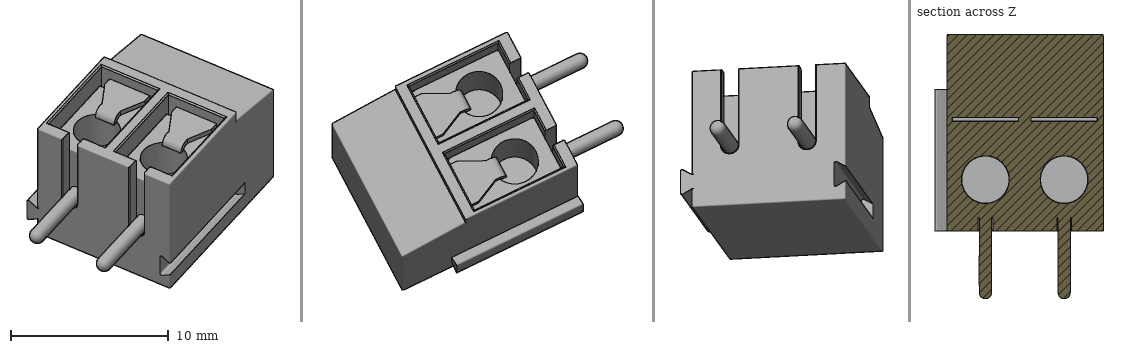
import cadquery as cq
import math


housing_width = 9.95
housing_depth = 12.5
housing_height = 9.0
shoulder_y = 8.0
shoulder_drop = 0.7
rear_drop = 1.5
edge_break = 0.1

pole_pitch = 5.0
pole_count = 2
first_pole_x = 2.45

pocket_width = 4.2
pocket_front_y = 0.85
pocket_rear_y = 7.2
insert_drop = 1.5
insert_rear_gap = 0.22
bore_diameter = 3.0
bore_y = 3.27

pin_diameter = 1.0
pin_z = 4.0
pin_length = 4.4
slot_width = 1.08
slot_break = 0.06
pocket_floor_z = pin_z - slot_width / 2

clip_drop = 0.84
clip_thickness = 0.35
clip_base_width = 3.0
clip_tip_width = 1.4
clip_base_length = 0.6
clip_bend_y = 4.79
clip_tip_length = 0.2
clip_roll_radius = 0.6

dovetail_depth = 0.75
dovetail_length = 9.0
dovetail_z = 1.71
dovetail_neck = 0.94
dovetail_flare = 30
dovetail_round = 0.12


def make_housing():
    """Stepped body with a sloping rear top; the two edges of the step stay sharp."""
    return (
        cq.Workplane("YZ")
        .moveTo(0, 0)
        .lineTo(housing_depth, 0)
        .lineTo(housing_depth, housing_height - rear_drop)
        .lineTo(shoulder_y, housing_height - shoulder_drop)
        .lineTo(shoulder_y, housing_height)
        .lineTo(0, housing_height)
        .close()
        .extrude(housing_width)
        .edges(">Y or <Y or <Z or >X or <X or (>Z and (not |X))")
        .fillet(edge_break)
    )


def make_dovetail(neck_x):
    """Dovetail bar whose narrow neck lies in the plane x = neck_x, widening toward -X."""
    half_neck = dovetail_neck / 2
    half_head = half_neck + dovetail_depth * math.tan(math.radians(dovetail_flare))
    head_x = neck_x - dovetail_depth
    return (
        cq.Workplane("XZ")
        .moveTo(neck_x + edge_break, dovetail_z - half_neck)
        .lineTo(neck_x, dovetail_z - half_neck)
        .lineTo(head_x, dovetail_z - half_head)
        .lineTo(head_x, dovetail_z + half_head)
        .lineTo(neck_x, dovetail_z + half_neck)
        .lineTo(neck_x + edge_break, dovetail_z + half_neck)
        .close()
        .extrude(-dovetail_length)
        .edges("|Y and <X")
        .fillet(dovetail_round)
    )


def make_pocket(pole_x):
    """Rectangular pocket with a chamfered rim."""
    pocket_length = pocket_rear_y - pocket_front_y
    pocket_y = (pocket_front_y + pocket_rear_y) / 2
    well = (
        cq.Workplane("XY", origin=(pole_x, pocket_y, pocket_floor_z))
        .rect(pocket_width, pocket_length)
        .extrude(housing_height - pocket_floor_z)
    )
    rim = (
        cq.Workplane("XY", origin=(pole_x, pocket_y, housing_height))
        .rect(pocket_width + 2 * edge_break, pocket_length + 2 * edge_break)
        .workplane(offset=-edge_break)
        .rect(pocket_width, pocket_length)
        .loft(ruled=True)
    )
    return well.union(rim)


def make_slot_cutter(pole_x, width, depth, taper=0):
    """Round-bottomed cutter around the pin, running from the front face and past the housing top."""
    radius = width / 2
    cutter_top = housing_height + edge_break
    return (
        cq.Workplane("XZ", origin=(pole_x, 0, 0))
        .moveTo(-radius, cutter_top)
        .lineTo(-radius, pin_z)
        .threePointArc((0, pin_z - radius), (radius, pin_z))
        .lineTo(radius, cutter_top)
        .close()
        .extrude(-depth, taper=taper)
    )


def make_slot(pole_x):
    """Slot through the front wall with a chamfered mouth."""
    slot = make_slot_cutter(pole_x, slot_width, pocket_front_y)
    mouth = make_slot_cutter(pole_x, slot_width + 2 * slot_break, slot_break, taper=45)
    return slot.union(mouth)


def make_insert(pole_x):
    """Metal block in the pocket with a wire bore and rounded top edges."""
    insert_rear_y = pocket_rear_y - insert_rear_gap
    insert_length = insert_rear_y - pocket_front_y
    insert_height = housing_height - insert_drop - pocket_floor_z
    block = (
        cq.Workplane("XY", origin=(pole_x, pocket_front_y + insert_length / 2, pocket_floor_z))
        .rect(pocket_width, insert_length)
        .extrude(insert_height)
        .faces(">Z")
        .edges()
        .fillet(edge_break)
    )
    bore = (
        cq.Workplane("XY", origin=(pole_x, bore_y, pocket_floor_z))
        .circle(bore_diameter / 2)
        .extrude(insert_height)
    )
    return block.cut(bore)


def make_clip(pole_x):
    """Tapered spring leaf from the rear wall with its tip rolled down into the bore."""
    top_z = housing_height - clip_drop
    roll_z = top_z - clip_roll_radius
    roll_tip_y = clip_bend_y - clip_roll_radius
    inner_radius = clip_roll_radius - clip_thickness
    diagonal = math.sqrt(0.5)
    side = (
        cq.Workplane("YZ", origin=(pole_x - clip_base_width / 2, 0, 0))
        .moveTo(pocket_rear_y, top_z)
        .lineTo(clip_bend_y, top_z)
        .threePointArc(
            (clip_bend_y - clip_roll_radius * diagonal, roll_z + clip_roll_radius * diagonal),
            (roll_tip_y, roll_z),
        )
        .lineTo(roll_tip_y + clip_thickness, roll_z)
        .threePointArc(
            (clip_bend_y - inner_radius * diagonal, roll_z + inner_radius * diagonal),
            (clip_bend_y, top_z - clip_thickness),
        )
        .lineTo(pocket_rear_y, top_z - clip_thickness)
        .close()
        .extrude(clip_base_width)
    )
    half_base = clip_base_width / 2
    half_tip = clip_tip_width / 2
    base_end_y = pocket_rear_y - clip_base_length
    taper_end_y = clip_bend_y + clip_tip_length
    plan = (
        cq.Workplane("XY", origin=(pole_x, 0, 0))
        .moveTo(-half_base, pocket_rear_y)
        .lineTo(-half_base, base_end_y)
        .lineTo(-half_tip, taper_end_y)
        .lineTo(-half_tip, roll_tip_y)
        .lineTo(half_tip, roll_tip_y)
        .lineTo(half_tip, taper_end_y)
        .lineTo(half_base, base_end_y)
        .lineTo(half_base, pocket_rear_y)
        .close()
        .extrude(housing_height)
    )
    return side.intersect(plan)


def make_pin(pole_x):
    """Round pin with a hemispherical end, rooted in the front face of the insert."""
    radius = pin_diameter / 2
    shank = (
        cq.Workplane("XZ", origin=(pole_x, pocket_front_y, pin_z))
        .circle(radius)
        .extrude(pocket_front_y + pin_length - radius)
    )
    tip = cq.Workplane("XY", origin=(pole_x, radius - pin_length, pin_z)).sphere(radius)
    return shank.union(tip)


result = make_housing().union(make_dovetail(0)).cut(make_dovetail(housing_width))
for pole in range(pole_count):
    pole_x = first_pole_x + pole * pole_pitch
    result = result.cut(make_pocket(pole_x)).cut(make_slot(pole_x))
    result = result.union(make_insert(pole_x)).union(make_clip(pole_x)).union(make_pin(pole_x))